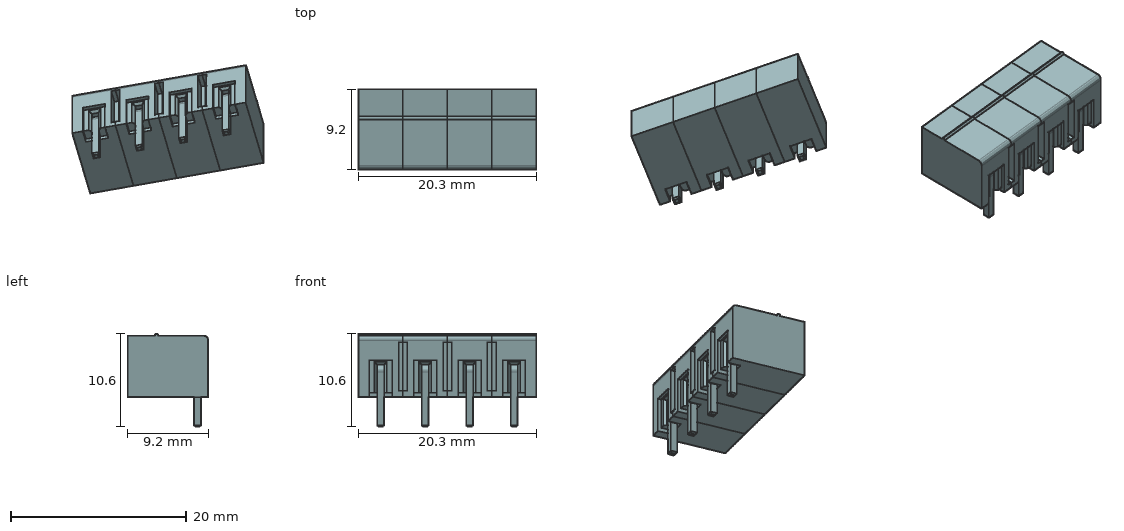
import cadquery as cq

MODULE_COUNT = 4
ROW_LENGTH = 20.32
PITCH = ROW_LENGTH / MODULE_COUNT

HOUSING_DEPTH = 9.2
TOTAL_HEIGHT = 10.6
RIDGE_RADIUS = 0.2
RIDGE_FROM_BACK = 3.31
TOP_EDGE_RADIUS = 0.5

PIN_SIZE = 0.81
PIN_FRONT = 0.81
PIN_BACK = PIN_FRONT + PIN_SIZE
PIN_TOP = 3.7
PIN_TAIL = 3.4
TIP_CHAMFER = 0.18
LEG_END = PIN_BACK + PIN_TAIL

HOUSING_HEIGHT = TOTAL_HEIGHT - PIN_TAIL - RIDGE_RADIUS

RECESS_WIDTH = 2.6
RECESS_TOP = 4.2
RECESS_DEPTH = 0.4
RELIEF_HEIGHT = 0.5
FUNNEL_SIZE = 0.3

JOINT_SLOT_WIDTH = 1.0
JOINT_SLOT_BOTTOM = 0.7
JOINT_SLOT_TOP = 6.25
JOINT_SLOT_DEPTH = PIN_BACK


def box(x_middle, width, y_start, y_end, z_start, z_end):
    """Block centred on x_middle and spanning the given Y and Z ranges."""
    size = (width, y_end - y_start, z_end - z_start)
    block = cq.Workplane("XY").box(*size, centered=(True, False, False))
    return block.translate((x_middle, y_start, z_start))


def make_block():
    """Plain block with its front top edge rounded and a half-round ridge along the top."""
    block = box(0, PITCH, 0, HOUSING_DEPTH, 0, HOUSING_HEIGHT)
    block = block.edges("|X and <Y and >Z").fillet(TOP_EDGE_RADIUS)
    ridge = (
        cq.Workplane("YZ", origin=(-PITCH / 2, HOUSING_DEPTH - RIDGE_FROM_BACK, HOUSING_HEIGHT))
        .circle(RIDGE_RADIUS)
        .extrude(PITCH)
    )
    return block.union(ridge)


def make_funnel():
    """Tapered lead-in that narrows from the back of the recess to the pin slot."""
    wide = PIN_SIZE + 2 * FUNNEL_SIZE
    tall = PIN_TOP + FUNNEL_SIZE

    def outline(width, height, y):
        corners = [(-width / 2, 0), (width / 2, 0), (width / 2, height), (-width / 2, height)]
        return cq.Wire.makePolygon([cq.Vector(x, y, z) for x, z in corners], close=True)

    mouth = outline(wide, tall, RECESS_DEPTH)
    throat = outline(PIN_SIZE, PIN_TOP, RECESS_DEPTH + FUNNEL_SIZE)
    return cq.Workplane(cq.Solid.makeLoft([mouth, throat], True))


def make_pin_space():
    """Everything removed around the pin: recess, relief, lead-in, upright slot and leg hole."""
    recess = box(0, RECESS_WIDTH, 0, RECESS_DEPTH, 0, RECESS_TOP)
    relief = box(0, RECESS_WIDTH, 0, PIN_BACK, 0, RELIEF_HEIGHT)
    slot = box(0, PIN_SIZE, 0, PIN_BACK, 0, PIN_TOP)
    leg_hole = box(0, PIN_SIZE, PIN_FRONT, LEG_END, PIN_TOP - PIN_SIZE, PIN_TOP)
    return recess.union(relief).union(make_funnel()).union(slot).union(leg_hole)


def make_housing(joint_sides):
    """Housing with half a joint slot on each listed side (-1 left, +1 right)."""
    housing = make_block().cut(make_pin_space())
    for side in joint_sides:
        joint_slot = box(
            side * PITCH / 2, JOINT_SLOT_WIDTH, 0, JOINT_SLOT_DEPTH, JOINT_SLOT_BOTTOM, JOINT_SLOT_TOP
        )
        housing = housing.cut(joint_slot)
    return housing


def make_pin():
    """Square pin bent back into the housing, with a rounded elbow and a chamfered tip."""
    leg_underside = PIN_TOP - PIN_SIZE
    upright = box(0, PIN_SIZE, PIN_FRONT, PIN_BACK, -PIN_TAIL, leg_underside)
    upright = upright.faces("<Z").chamfer(TIP_CHAMFER)
    elbow = (
        cq.Workplane("YZ", origin=(-PIN_SIZE / 2, PIN_BACK, leg_underside))
        .moveTo(0, PIN_SIZE)
        .radiusArc((-PIN_SIZE, 0), -PIN_SIZE)
        .lineTo(0, 0)
        .close()
        .extrude(PIN_SIZE)
    )
    leg = box(0, PIN_SIZE, PIN_BACK, LEG_END, leg_underside, PIN_TOP)
    return upright.union(elbow).union(leg)


housings = []
pins = []
for index in range(MODULE_COUNT):
    place = ((index + 0.5) * PITCH - ROW_LENGTH / 2, 0, 0)
    joint_sides = []
    if index > 0:
        joint_sides.append(-1)
    if index < MODULE_COUNT - 1:
        joint_sides.append(1)
    housings.append(make_housing(joint_sides).translate(place).solids().val())
    pins.append(make_pin().translate(place).solids().val())

result = cq.Compound.makeCompound([*housings, *pins])